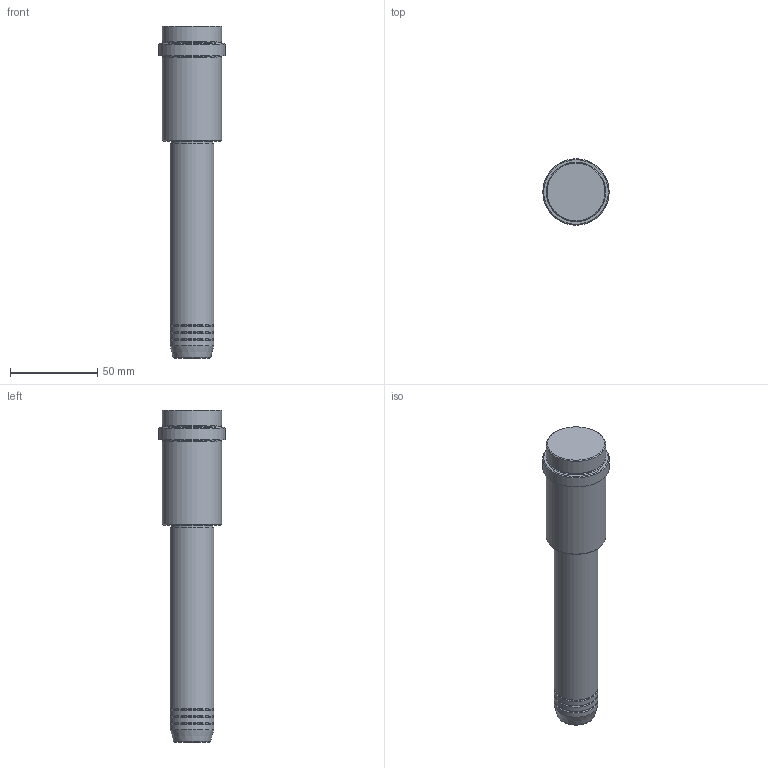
import cadquery as cq
import math

total_length = 190.0
shank_radius = 25.0 / 2
head_radius = 34.0 / 2
flange_radius = 38.0 / 2

head_length = 66.0
flange_top_depth = 10.0
flange_thickness = 7.0
edge_chamfer = 0.5

groove_radius = 0.5
oil_groove_count = 3
oil_groove_pitch = 4.0
first_oil_groove_z = 10.5

neck_length = 1.0
neck_depth = 0.5

lead_in_length = 7.0
lead_in_angle = 15.0
tip_fillet = 0.5

head_bottom_z = total_length - head_length
flange_top_z = total_length - flange_top_depth
flange_bottom_z = flange_top_z - flange_thickness


def cylinder(radius, bottom_z, height):
    return cq.Workplane("XY").workplane(offset=bottom_z).circle(radius).extrude(height)


def half_round_groove(outer_radius, middle_z):
    """Ring of half-round section to remove from a cylinder, as two quarter arcs meeting at its floor."""
    diagonal = groove_radius * math.sqrt(0.5)
    floor = (outer_radius - groove_radius, middle_z)
    upper_rim = (outer_radius, middle_z + groove_radius)
    profile = (
        cq.Workplane("XZ")
        .moveTo(outer_radius, middle_z - groove_radius)
        .threePointArc((outer_radius - diagonal, middle_z - diagonal), floor)
        .threePointArc((outer_radius - diagonal, middle_z + diagonal), upper_rim)
        .close()
    )
    return profile.revolve(360, (0, 0, 0), (0, 1, 0), clean=False)


def make_shank():
    """Shank with a conical lead-in, rounded tip edge, three oil grooves and a reduced neck under the head."""
    tip_radius = shank_radius - lead_in_length * math.tan(math.radians(lead_in_angle))
    neck_radius = shank_radius - neck_depth
    neck_z = head_bottom_z - neck_length
    profile = (
        cq.Workplane("XZ")
        .lineTo(tip_radius, 0)
        .lineTo(shank_radius, lead_in_length)
        .lineTo(shank_radius, neck_z)
        .lineTo(neck_radius, neck_z)
        .lineTo(neck_radius, head_bottom_z)
        .lineTo(0, head_bottom_z)
        .close()
    )
    shank = profile.revolve(360, (0, 0, 0), (0, 1, 0)).faces("<Z").edges().fillet(tip_fillet)
    for index in range(oil_groove_count):
        groove_z = first_oil_groove_z + index * oil_groove_pitch
        shank = shank.cut(half_round_groove(shank_radius, groove_z), clean=False)
    return shank


def make_head():
    """Head cylinder chamfered at both ends, with its flange and a relief groove on each side of it."""
    head = cylinder(head_radius, head_bottom_z, head_length).faces("<Z or >Z").chamfer(edge_chamfer)
    for groove_z in (flange_top_z + groove_radius, flange_bottom_z - groove_radius):
        head = head.cut(half_round_groove(head_radius, groove_z), clean=False)
    flange = cylinder(flange_radius, flange_bottom_z, flange_thickness).faces(">Z").chamfer(edge_chamfer)
    return head.union(flange, clean=False)


result = make_shank().union(make_head(), clean=False).solids()